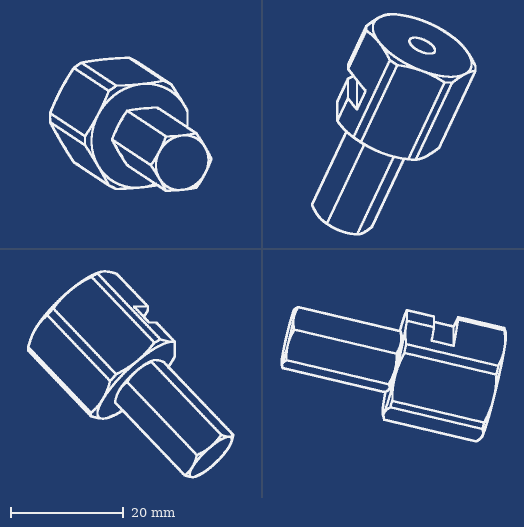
import cadquery as cq
import math

housing_length = 17.95
housing_flats = 19.0
housing_corners = 21.0
bore_diameter = 4.9

step_height = 8.85
slot_floor = 7.12
slot_start = 9.0
slot_width = 4.0

total_length = 37.5
stud_flats = 10.0
stud_length = total_length - housing_length

chamfer_angle = 30.0


def hexagon_bar(start, length, flats):
    """Hexagonal bar along X, with corners toward +Y and -Y."""
    across_points = flats / math.cos(math.radians(30))
    return cq.Workplane("YZ", origin=(start, 0, 0)).polygon(6, across_points).extrude(length)


def chamfer_envelope(start, length, flats):
    """Round body whose coned ends chamfer the corners of a hexagonal bar."""
    end_radius = flats / 2
    outer_radius = flats
    cone_length = (outer_radius - end_radius) * math.tan(math.radians(chamfer_angle))
    end = start + length
    profile = [
        (start, 0),
        (start, end_radius),
        (start + cone_length, outer_radius),
        (end - cone_length, outer_radius),
        (end, end_radius),
        (end, 0),
    ]
    return cq.Workplane("XY").polyline(profile).close().revolve(360, (0, 0, 0), (1, 0, 0))


def notch_cut(start, end, floor):
    """Block that removes everything above Y = floor, through the whole height."""
    depth = housing_corners / 2 - floor
    block = cq.Workplane("XY").box(end - start, depth, housing_flats, centered=(False, False, True))
    return block.translate((start, floor, 0))


def make_housing():
    body = hexagon_bar(0, housing_length, housing_flats)
    corner_trim = hexagon_bar(0, housing_length, housing_corners).rotate((0, 0, 0), (1, 0, 0), 30)
    body = body.intersect(corner_trim)
    body = body.intersect(chamfer_envelope(0, housing_length, housing_flats))
    bore = cq.Workplane("YZ").circle(bore_diameter / 2).extrude(housing_length)
    body = body.cut(bore)
    body = body.cut(notch_cut(slot_start, housing_length, step_height))
    return body.cut(notch_cut(slot_start, slot_start + slot_width, slot_floor))


def make_stud():
    body = hexagon_bar(housing_length, stud_length, stud_flats)
    return body.intersect(chamfer_envelope(housing_length, stud_length, stud_flats))


housing = make_housing()
stud = make_stud()
result = cq.Compound.makeCompound([housing.solids().val(), stud.solids().val()])